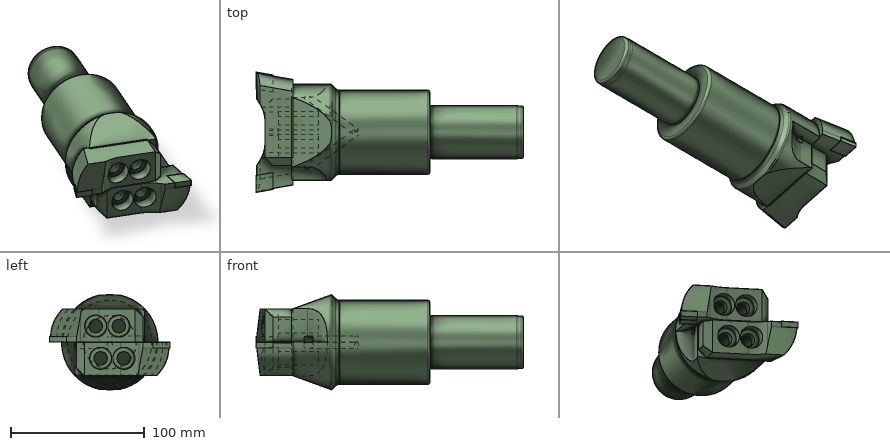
import cadquery as cq
import math


total_length = 200.0
head_dia = 72.0
body_dia = 63.0
body_neck_dia = 62.8
shank_dia = 40.0
shank_neck_dia = 39.5
head_front_x = 26.8
head_cylinder_end_x = 55.3
body_neck_end_x = 62.1
body_rear_x = 130.0
shank_neck_length = 0.9
neck_ramp_length = 1.2
tail_ramp_start_x = 194.5
rim_radius = 2.0
neck_fillet_radius = 4.0
end_radius = 2.0
front_rim_chamfer = 1.0

flat_angle = 20.0
gullet_wall_y = 25.8
gullet_arc_start_x = 38.5
gullet_arc_radius = 16.0
coolant_dia = 5.0
coolant_mouth_x = 39.7
coolant_z = 2.3
coolant_angle = 36.0
coolant_runout = 3.0

cutter_height = 25.0
cutter_half_gap = 0.25
cutter_rear_x = 27.8
cutter_inner_y = -25.0
cutter_nose_x = 6.8
cutter_chamfer = 6.0
land_front_x = 0.7
land_side_y = 44.3
land_height = 4.3
side_slope = 10.0
front_relief_angle = 7.0
outer_relief_radius = 29.0
nose_arc_start_y = 8.0
nose_arc_end_y = 22.0
nose_arc_radius = 25.0

insert_tip_y = 45.0
insert_size = 12.7

bolt_dia = 10.0
bolt_head_dia = 16.5
bolt_head_depth = 10.0
bolt_z = 12.0
bolt_ys = (10.5, -6.8)
bolt_thread_depth = 20.0

clearance = 50.0


def half_turn(shape):
    return shape.rotate((0, 0, 0), (1, 0, 0), 180)


def turned_holder():
    head_r = head_dia / 2
    neck_r = body_neck_dia / 2
    body_r = body_dia / 2
    shank_neck_r = shank_neck_dia / 2
    shank_r = shank_dia / 2

    half = math.radians(22.5)
    diagonal = math.radians(45)
    rim_mid = (head_cylinder_end_x + rim_radius * math.sin(half),
               head_r - rim_radius * (1 - math.cos(half)))
    rim_end = (head_cylinder_end_x + rim_radius * math.sin(diagonal),
               head_r - rim_radius * (1 - math.cos(diagonal)))
    fillet_start_r = neck_r + neck_fillet_radius * (1 - math.cos(diagonal))
    fillet_start_x = rim_end[0] + rim_end[1] - fillet_start_r
    fillet_end_x = fillet_start_x + neck_fillet_radius * math.sin(diagonal)
    fillet_mid = (fillet_end_x - neck_fillet_radius * math.sin(half),
                  neck_r + neck_fillet_radius * (1 - math.cos(half)))

    shank_start_x = body_rear_x + shank_neck_length
    outline = (
        cq.Workplane("XY")
        .moveTo(head_front_x, 0)
        .lineTo(head_front_x, head_r - front_rim_chamfer)
        .lineTo(head_front_x + front_rim_chamfer, head_r)
        .lineTo(head_cylinder_end_x, head_r)
        .threePointArc(rim_mid, rim_end)
        .lineTo(fillet_start_x, fillet_start_r)
        .threePointArc(fillet_mid, (fillet_end_x, neck_r))
        .lineTo(body_neck_end_x, neck_r)
        .lineTo(body_neck_end_x + neck_ramp_length, body_r)
        .lineTo(body_rear_x - end_radius, body_r)
        .radiusArc((body_rear_x, body_r - end_radius), end_radius)
        .lineTo(body_rear_x, shank_neck_r)
        .lineTo(shank_start_x, shank_neck_r)
        .lineTo(shank_start_x + neck_ramp_length, shank_r)
        .lineTo(tail_ramp_start_x, shank_r)
        .lineTo(tail_ramp_start_x + neck_ramp_length, shank_neck_r)
        .lineTo(total_length - end_radius, shank_neck_r)
        .radiusArc((total_length, shank_neck_r - end_radius), end_radius)
        .lineTo(total_length, 0)
        .close()
    )
    return outline.revolve(360, (0, 0, 0), (1, 0, 0))


def flat_tool():
    """Wedge above one sloping flat, which rises from the top rear edge of the cutter."""
    slope = math.tan(math.radians(flat_angle))
    front_z = cutter_height - slope * (cutter_rear_x - head_front_x)
    far_x = head_front_x + clearance
    return (
        cq.Workplane("XZ")
        .moveTo(head_front_x, front_z)
        .lineTo(far_x, front_z + slope * clearance)
        .lineTo(head_front_x, front_z + clearance)
        .close()
        .extrude(clearance, both=True)
    )


def gullet_tool():
    """Chip space beside the upper cutter: flat wall running out in an arc."""
    arc_end_x = gullet_arc_start_x + gullet_arc_radius
    arc_end_y = -gullet_wall_y - gullet_arc_radius
    return (
        cq.Workplane("XY")
        .moveTo(0, -gullet_wall_y)
        .lineTo(gullet_arc_start_x, -gullet_wall_y)
        .radiusArc((arc_end_x, arc_end_y), gullet_arc_radius)
        .lineTo(0, arc_end_y)
        .close()
        .extrude(clearance)
    )


def coolant_tool():
    """Slanted hole from the gullet wall inward to the spindle axis."""
    angle = math.radians(coolant_angle)
    direction = cq.Vector(math.cos(angle), math.sin(angle), 0)
    mouth = cq.Vector(coolant_mouth_x, -gullet_wall_y, coolant_z)
    start = mouth - direction * coolant_runout
    length = coolant_runout + gullet_wall_y / math.sin(angle)
    return cq.Workplane(cq.Solid.makeCylinder(coolant_dia / 2, length, start, direction))


def bolt_holes(diameter, start_x, length):
    centres = [(y, bolt_z) for y in bolt_ys]
    return (
        cq.Workplane("YZ", origin=(start_x, 0, 0))
        .pushPoints(centres)
        .circle(diameter / 2)
        .extrude(length)
    )


def make_holder():
    holder = turned_holder()
    side_tools = (
        flat_tool(),
        gullet_tool(),
        coolant_tool(),
        bolt_holes(bolt_dia, head_front_x, bolt_thread_depth),
    )
    for tool in side_tools:
        holder = holder.cut(tool).cut(half_turn(tool))
    return holder


def cutter_block():
    """Cutter plan with its hollowed front, raised to full height."""
    arc_centre_x = cutter_nose_x - nose_arc_radius
    arc_sweep = math.asin((nose_arc_end_y - nose_arc_start_y) / nose_arc_radius)
    arc_end_x = arc_centre_x + nose_arc_radius * math.cos(arc_sweep)
    front_y = nose_arc_end_y + (arc_end_x - land_front_x) / math.tan(arc_sweep)
    block = (
        cq.Workplane("XY", origin=(0, 0, cutter_half_gap))
        .moveTo(cutter_rear_x, cutter_inner_y)
        .lineTo(cutter_nose_x + cutter_chamfer, cutter_inner_y)
        .lineTo(cutter_nose_x, cutter_inner_y + cutter_chamfer)
        .lineTo(cutter_nose_x, nose_arc_start_y)
        .radiusArc((arc_end_x, nose_arc_end_y), -nose_arc_radius)
        .lineTo(land_front_x, front_y)
        .lineTo(land_front_x, insert_tip_y)
        .lineTo(cutter_rear_x, insert_tip_y)
        .close()
        .extrude(cutter_height - cutter_half_gap)
    )
    return block.faces(">Z").edges("<Y").chamfer(cutter_chamfer)


def outer_relief_envelope():
    """Sloping outer side: an upright land, then an arc curving inward above it."""
    slope = math.radians(side_slope)
    side_plane = cq.Plane(
        origin=(0, land_side_y, 0),
        xDir=(math.sin(slope), math.cos(slope), 0),
        normal=(math.cos(slope), -math.sin(slope), 0),
    )
    rise = cutter_height - land_height
    arc_drop = outer_relief_radius - math.sqrt(outer_relief_radius**2 - rise**2)
    inner = -2 * clearance
    return (
        cq.Workplane(side_plane)
        .moveTo(0, 0)
        .lineTo(0, land_height)
        .radiusArc((-arc_drop, cutter_height), -outer_relief_radius)
        .lineTo(inner, cutter_height)
        .lineTo(inner, 0)
        .close()
        .extrude(clearance, both=True)
    )


def front_relief_tool():
    """Wedge that leans the front face back above the upright land."""
    rise = cutter_height - land_height
    lean = rise * math.tan(math.radians(front_relief_angle))
    return (
        cq.Workplane("XZ")
        .moveTo(land_front_x, land_height)
        .lineTo(land_front_x + lean, cutter_height)
        .lineTo(land_front_x, cutter_height)
        .close()
        .extrude(clearance, both=True)
    )


def cutting_tip():
    """Raised tip pad, standing slightly proud of the cutter on all free sides."""
    fall = insert_size * math.tan(math.radians(side_slope))
    return (
        cq.Workplane("XY")
        .moveTo(0, insert_tip_y)
        .lineTo(insert_size, insert_tip_y - fall)
        .lineTo(insert_size, insert_tip_y - fall - insert_size)
        .lineTo(0, insert_tip_y - insert_size)
        .close()
        .extrude(land_height)
    )


def make_cutter(holder):
    cutter = cutter_block().intersect(outer_relief_envelope())
    cutter = cutter.cut(front_relief_tool()).union(cutting_tip())
    cutter = cutter.cut(bolt_holes(bolt_dia, 0, cutter_rear_x))
    cutter = cutter.cut(bolt_holes(bolt_head_dia, 0, cutter_nose_x + bolt_head_depth))
    return cutter.cut(holder)


holder = make_holder()
upper_cutter = make_cutter(holder)
lower_cutter = half_turn(upper_cutter)

result = cq.Compound.makeCompound([holder.val(), upper_cutter.val(), lower_cutter.val()])